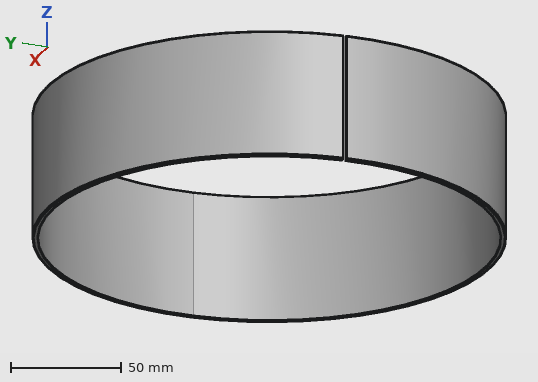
import cadquery as cq
import math

outer_diameter = 215.0
wall_thickness = 2.5
height = 60.0
outer_rim_chamfer = 0.5
inner_rim_chamfer = 0.2
slit_angle = 1.0

outer_radius = outer_diameter / 2
inner_radius = outer_radius - wall_thickness
cutter_reach = outer_radius + wall_thickness


def make_band():
    """Thin ring standing on the XY plane: the chamfered wall section turned about Z."""
    wall_section = (
        cq.Workplane("XZ")
        .moveTo(inner_radius + inner_rim_chamfer, 0)
        .lineTo(outer_radius - outer_rim_chamfer, 0)
        .lineTo(outer_radius, outer_rim_chamfer)
        .lineTo(outer_radius, height - outer_rim_chamfer)
        .lineTo(outer_radius - outer_rim_chamfer, height)
        .lineTo(inner_radius + inner_rim_chamfer, height)
        .lineTo(inner_radius, height - inner_rim_chamfer)
        .lineTo(inner_radius, inner_rim_chamfer)
        .close()
    )
    return wall_section.revolve(360, (0, 0, 0), (0, 1, 0))


def make_slit_cutter():
    """Full-height wedge from the axis through the -X wall, opening from the XZ plane toward +Y."""
    wedge_width = cutter_reach * math.tan(math.radians(slit_angle))
    return (
        cq.Workplane("XY")
        .moveTo(0, 0)
        .lineTo(-cutter_reach, 0)
        .lineTo(-cutter_reach, wedge_width)
        .close()
        .extrude(height)
    )


result = make_band().cut(make_slit_cutter())